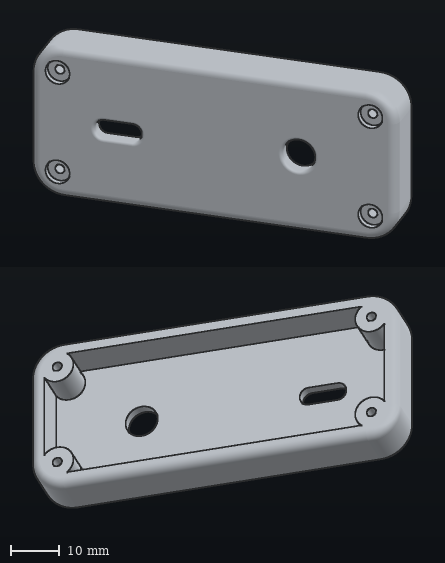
import cadquery as cq

length = 79.0
depth = 11.0
height = 34.0
corner_radius = 6.95
edge_radius = 2.0
front_y = -depth / 2
back_y = depth / 2

front_wall = 3.0
side_wall = 3.0
cavity_length = length - 2 * side_wall
cavity_height = height - 2 * side_wall
cavity_radius = corner_radius - side_wall

screw_inset = 5.8
screw_diameter = 2.0
counterbore_diameter = 5.2
counterbore_depth = 1.5
post_diameter = 6.95
screw_points = [
    (side_x * (length / 2 - screw_inset), side_z * (height / 2 - screw_inset))
    for side_x in (-1, 1)
    for side_z in (-1, 1)
]

round_x = 18.2
round_diameter = 6.9
round_lip_radius = 0.8

slot_x = -20.8
slot_z = -0.3
slot_length = 9.95
slot_height = 3.95
slot_corner_radius = 1.9
slot_lip_radius = 0.8

rim_tolerance = 0.1


def plane_at(y):
    """XZ plane at the given Y, with its normal pointing to +Y and local y along -Z."""
    return cq.Plane(origin=(0, y, 0), xDir=(1, 0, 0), normal=(0, 1, 0))


def rounded_block(size_x, size_z, radius, start_y, end_y):
    """Block centred on the Y axis with its edges along Y rounded."""
    block = cq.Workplane(plane_at(start_y)).rect(size_x, size_z).extrude(end_y - start_y)
    return block.edges("|Y").fillet(radius)


def cylinders(points, diameter, start_y, end_y):
    """Round bars along Y centred on (x, z) points."""
    local_points = [(x, -z) for x, z in points]
    sketch = cq.Workplane(plane_at(start_y)).pushPoints(local_points)
    return sketch.circle(diameter / 2).extrude(end_y - start_y)


def front_rim(body, x, z, reach):
    """Front-face edges of the opening centred on (x, z)."""
    selector = cq.selectors.BoxSelector(
        (x - reach, front_y - rim_tolerance, z - reach),
        (x + reach, front_y + rim_tolerance, z + reach),
    )
    return body.edges(selector)


outer = rounded_block(length, height, corner_radius, front_y, back_y)
outer = outer.faces("<Y or >Y").edges().fillet(edge_radius)

cavity_front_y = front_y + front_wall
cavity = rounded_block(cavity_length, cavity_height, cavity_radius, cavity_front_y, back_y)
posts = cylinders(screw_points, post_diameter, cavity_front_y, back_y)
result = outer.cut(cavity.cut(posts))

result = result.cut(cylinders([(round_x, 0)], round_diameter, front_y, cavity_front_y))
slot = rounded_block(slot_length, slot_height, slot_corner_radius, front_y, cavity_front_y)
result = result.cut(slot.translate((slot_x, 0, slot_z)))
result = front_rim(result, round_x, 0, round_diameter).fillet(round_lip_radius)
result = front_rim(result, slot_x, slot_z, slot_length).fillet(slot_lip_radius)

result = result.cut(cylinders(screw_points, screw_diameter, front_y, back_y))
result = result.cut(
    cylinders(screw_points, counterbore_diameter, front_y, front_y + counterbore_depth)
)